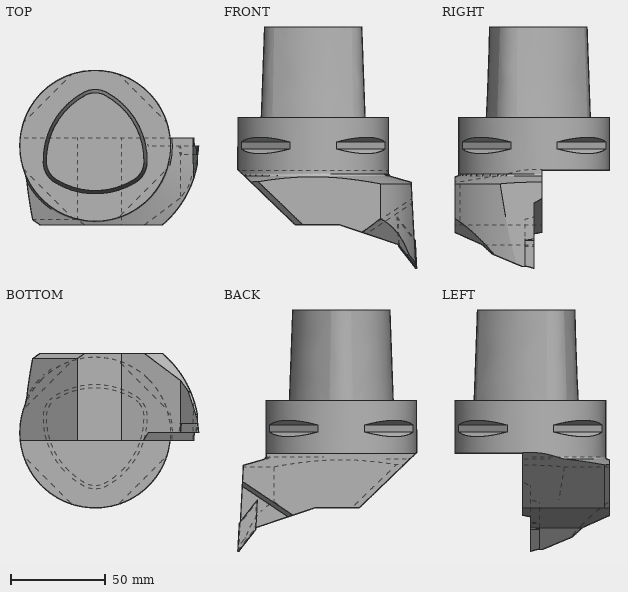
import cadquery as cq
import math


shank_height = 48.0
shank_inset = 1.73
lobe_radius = 12.8
lobe_offset = 17.0
flank_distance = 25.5
lobe_angles = (90, 210, 330)

flange_radius = 80.0 / 2
flange_height = 28.0
groove_floor_distance = 35.6
groove_floor_width = 3.6
groove_flank_angle = 30.0
groove_mid_z = -14.9
groove_angles = (45, 135, 225, 315)

head_front_y = -42.0
head_back_y = 4.2
head_radius = 55.0
cone_top_z = -30.9
cone_slope = 16.0
neck_fillet = 1.3
head_blend_z = -19.2
head_bottom_z = -57.0
relief_top = (-flange_radius, -27.5)
relief_foot_x = -9.5
relief_chamfer = 2.8
underside_start_x = 14.1
heel = (45.3, -67.5)
side_top = (52.0, -34.6)
side_bottom = (54.3, -78.1)
below_z = -89.6
clear = 76.8

insert_side = 15.7
insert_thickness = 4.7
insert_point_angle = 35.0
insert_lead_angle = 3.0
insert_clearance = 5.0
nose_radius = 0.4
nose_right_x = 54.9
nose_bottom_z = -80.0


def polar(radius, degrees):
    return (radius * math.cos(math.radians(degrees)), radius * math.sin(math.radians(degrees)))


def make_shank():
    """Three large flank arcs joined tangentially by three lobe arcs, tapering upward."""
    reach = flank_distance - lobe_radius
    flank_offset = (lobe_offset**2 - reach**2) / (2 * reach - lobe_offset)
    flank_radius = flank_distance + flank_offset
    stretch = lobe_radius / (flank_radius - lobe_radius)
    lobe_apex = lobe_offset + lobe_radius

    def tangent_point(lobe_angle, flank_angle):
        lobe_x, lobe_y = polar(lobe_offset, lobe_angle)
        centre_x, centre_y = polar(-flank_offset, flank_angle)
        return (lobe_x + stretch * (lobe_x - centre_x), lobe_y + stretch * (lobe_y - centre_y))

    first = lobe_angles[0]
    outline = cq.Workplane("XY").moveTo(*tangent_point(first, first - 60))
    for angle in lobe_angles:
        outline = outline.threePointArc(polar(lobe_apex, angle), tangent_point(angle, angle + 60))
        outline = outline.threePointArc(
            polar(flank_distance, angle + 60), tangent_point(angle + 120, angle + 60)
        )
    taper = math.degrees(math.atan(shank_inset / shank_height))
    return outline.close().extrude(shank_height, taper=taper)


def make_groove(angle):
    """Straight trapezoidal groove across the flange rim."""
    depth = clear - groove_floor_distance
    half_floor = groove_floor_width / 2
    half_mouth = half_floor + depth * math.tan(math.radians(groove_flank_angle))
    groove = (
        cq.Workplane("XZ")
        .polyline([
            (groove_floor_distance, groove_mid_z - half_floor),
            (clear, groove_mid_z - half_mouth),
            (clear, groove_mid_z + half_mouth),
            (groove_floor_distance, groove_mid_z + half_floor),
        ])
        .close()
        .extrude(clear, both=True)
    )
    return groove.rotate((0, 0, 0), (0, 0, 1), angle)


def make_flange_envelope():
    """Slab that keeps the full flange; the sloping left side of the head just clips it."""
    slab = cq.Workplane("XY").rect(2 * clear, 2 * clear).extrude(-flange_height)
    slope = (head_bottom_z - relief_top[1]) / (relief_foot_x - relief_top[0])
    rim_clip = (
        cq.Workplane("XZ")
        .polyline([
            (-clear, relief_top[1] + slope * (-clear - relief_top[0])),
            (relief_foot_x, head_bottom_z),
            (-clear, head_bottom_z),
        ])
        .close()
        .extrude(clear, both=True)
    )
    return slab.cut(rim_clip)


def make_turned_stock():
    """Flange wall, neck fillet, conical shoulder and outer cylinder."""
    slope = math.radians(cone_slope)
    turn = math.pi / 2 - slope
    setback = neck_fillet * math.tan(turn / 2)
    wall_z = cone_top_z + setback
    arc_x = flange_radius + neck_fillet
    mid_x = arc_x - neck_fillet * math.cos(turn / 2)
    mid_z = wall_z - neck_fillet * math.sin(turn / 2)
    shoulder_x = flange_radius + setback * math.cos(slope)
    shoulder_z = cone_top_z - setback * math.sin(slope)
    rim_z = cone_top_z - (head_radius - flange_radius) * math.tan(slope)
    return (
        cq.Workplane("XZ")
        .lineTo(flange_radius, 0)
        .lineTo(flange_radius, wall_z)
        .threePointArc((mid_x, mid_z), (shoulder_x, shoulder_z))
        .lineTo(head_radius, rim_z)
        .lineTo(head_radius, below_z)
        .lineTo(0, below_z)
        .close()
        .revolve(360, (0, 0, 0), (0, 1, 0))
    )


def make_head_prism():
    """Side outline of the head with its sloping left side chamfered at the front."""
    relief_run = (relief_foot_x - relief_top[0]) / (relief_top[1] - head_bottom_z)
    relief_blend_x = relief_top[0] - relief_run * (head_blend_z - relief_top[1])
    lean = (side_bottom[0] - side_top[0]) / (side_top[1] - side_bottom[1])
    side_blend_x = side_top[0] - lean * (head_blend_z - side_top[1])
    drop = 1 / math.tan(math.radians(insert_point_angle + insert_lead_angle))
    toe_x = (
        (side_top[0] + lean * (side_top[1] - heel[1] + drop * -heel[0])) / (1 - lean * drop)
    )
    toe_z = heel[1] - drop * (toe_x - heel[0])
    prism = (
        cq.Workplane("XZ", origin=(0, head_back_y, 0))
        .polyline([
            (relief_blend_x, head_blend_z),
            (relief_foot_x, head_bottom_z),
            (underside_start_x, head_bottom_z),
            heel,
            (toe_x, toe_z),
            (side_blend_x, head_blend_z),
        ])
        .close()
        .extrude(head_back_y - head_front_y)
    )
    edge_middle = (
        (relief_blend_x + relief_foot_x) / 2, head_front_y, (head_blend_z + head_bottom_z) / 2
    )
    return prism.edges(cq.selectors.NearestToPointSelector(edge_middle)).chamfer(relief_chamfer)


def make_front_bevel():
    """Everything outside the slanted plane on the lower front corner."""
    corner = cq.Vector(26.4, head_front_y, -60.7)
    upper = cq.Vector(35.5, head_front_y, -53.8)
    inner = cq.Vector(heel[0], -27.5, heel[1])
    along = upper - corner
    outward = (inner - corner).cross(along)
    bevel_plane = cq.Plane(origin=corner.toTuple(), xDir=along.toTuple(), normal=outward.toTuple())
    return cq.Workplane(bevel_plane).rect(2 * clear, 2 * clear).extrude(clear)


def make_tip_bevel():
    """Wedge below a plane that rises toward the front under the cutting tip."""
    tip_side = (-10.1, -77.5)
    front_side = (-23.3, -72.0)
    rise = (front_side[1] - tip_side[1]) / (tip_side[0] - front_side[0])
    far_z = front_side[1] + rise * (front_side[0] + clear)
    near_y = tip_side[0] - (below_z - tip_side[1]) / rise
    return (
        cq.Workplane("YZ", origin=(heel[0], 0, 0))
        .polyline([(-clear, far_z), (near_y, below_z), (-clear, below_z)])
        .close()
        .extrude(clear)
    )


def make_rake_recess():
    """Clears the back of the head down to the insert's face, with one drafted wall."""
    wall_foot_x = 28.2
    wall_foot_z = -61.7
    wall_end_x = 56.3
    wall_end_z = -42.9
    draft_x = 3.8

    def outline(shift):
        slope = (wall_end_z - wall_foot_z) / (wall_end_x - wall_foot_x)
        low_x = wall_foot_x - shift - (wall_foot_z - below_z) / slope
        return [(low_x, below_z), (wall_end_x - shift, wall_end_z), (clear, wall_end_z), (clear, below_z)]

    return (
        cq.Workplane("XZ")
        .polyline(outline(0))
        .close()
        .workplane(offset=-head_back_y)
        .polyline(outline(draft_x))
        .close()
        .loft(ruled=True)
    )


def make_insert():
    """Rhombic plate with clearance on all sides and a rounded cutting nose."""
    half_point = insert_point_angle / 2
    axis_angle = 90 + insert_lead_angle + half_point
    to_corner = polar(-nose_radius / math.sin(math.radians(half_point)), axis_angle)
    tip = (
        nose_right_x - nose_radius + to_corner[0],
        nose_bottom_z + nose_radius + to_corner[1],
    )
    right = polar(insert_side, axis_angle - half_point)
    left = polar(insert_side, axis_angle + half_point)
    plate = (
        cq.Workplane("XZ")
        .polyline([
            tip,
            (tip[0] + right[0], tip[1] + right[1]),
            (tip[0] + right[0] + left[0], tip[1] + right[1] + left[1]),
            (tip[0] + left[0], tip[1] + left[1]),
        ])
        .close()
        .extrude(insert_thickness, taper=insert_clearance)
    )
    nose_edge = cq.selectors.NearestToPointSelector((tip[0], -insert_thickness / 2, tip[1]))
    return plate.edges("not #Y").edges(nose_edge).fillet(nose_radius)


insert = make_insert()

body = make_turned_stock().intersect(make_flange_envelope().union(make_head_prism()))
body = body.cut(make_front_bevel()).cut(make_tip_bevel()).cut(make_rake_recess())
for groove_angle in groove_angles:
    body = body.cut(make_groove(groove_angle))
holder = body.union(make_shank()).cut(insert)

result = cq.Compound.makeCompound([holder.solids().val(), insert.solids().val()])